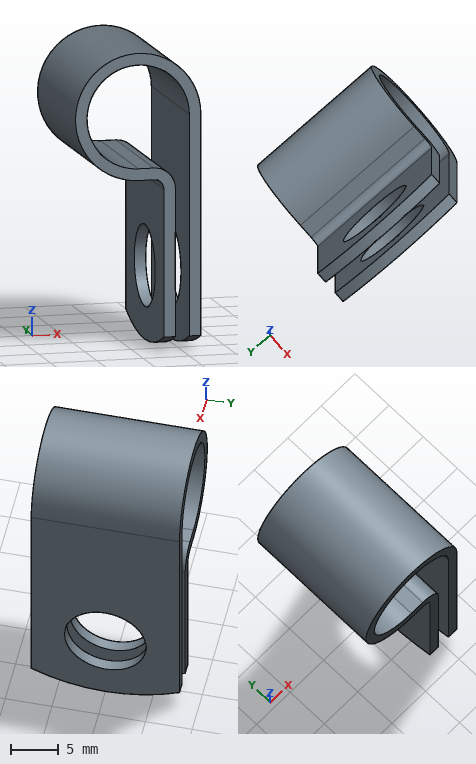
import cadquery as cq
import math

total_height = 32.07
width = 15.87
thickness = 1.25
loop_outer_radius = 6.77
short_leg_outer_x = 2.75
bend_inner_radius = 1.05
hole_diameter = 8.72
hole_height = 7.9
end_arc_rise = 1.73

loop_inner_radius = loop_outer_radius - thickness
bend_outer_radius = bend_inner_radius + thickness
short_leg_inner_x = short_leg_outer_x + thickness
bend_x = short_leg_outer_x - bend_inner_radius
bend_z = -loop_outer_radius - bend_inner_radius
bottom_z = loop_outer_radius - total_height
end_arc_z = bottom_z + end_arc_rise
diagonal = math.sqrt(0.5)


def bend_midpoint(radius):
    """Point halfway round the quarter bend into the short leg."""
    return bend_x + radius * diagonal, bend_z + radius * diagonal


def bent_strip():
    """Constant-thickness strip: long leg, three-quarter loop, bend and short leg."""
    return (
        cq.Workplane("XZ")
        .moveTo(loop_outer_radius, bottom_z)
        .lineTo(loop_outer_radius, 0)
        .threePointArc((-loop_outer_radius * diagonal, loop_outer_radius * diagonal), (0, -loop_outer_radius))
        .lineTo(bend_x, -loop_outer_radius)
        .threePointArc(bend_midpoint(bend_inner_radius), (short_leg_outer_x, bend_z))
        .lineTo(short_leg_outer_x, bottom_z)
        .lineTo(short_leg_inner_x, bottom_z)
        .lineTo(short_leg_inner_x, bend_z)
        .threePointArc(bend_midpoint(bend_outer_radius), (bend_x, -loop_inner_radius))
        .lineTo(0, -loop_inner_radius)
        .threePointArc((-loop_inner_radius * diagonal, loop_inner_radius * diagonal), (loop_inner_radius, 0))
        .lineTo(loop_inner_radius, bottom_z)
        .close()
        .extrude(width / 2, both=True)
    )


def rounded_end_envelope():
    """Block around the whole strip whose lower end is a shallow arc."""
    return (
        cq.Workplane("YZ")
        .moveTo(-width / 2, loop_outer_radius)
        .lineTo(-width / 2, end_arc_z)
        .threePointArc((0, bottom_z), (width / 2, end_arc_z))
        .lineTo(width / 2, loop_outer_radius)
        .close()
        .extrude(loop_outer_radius, both=True)
    )


def bolt_hole():
    """Cylinder along X that passes through both legs."""
    return (
        cq.Workplane("YZ")
        .center(0, bottom_z + hole_height)
        .circle(hole_diameter / 2)
        .extrude(loop_outer_radius, both=True)
    )


result = bent_strip().intersect(rounded_end_envelope()).cut(bolt_hole())